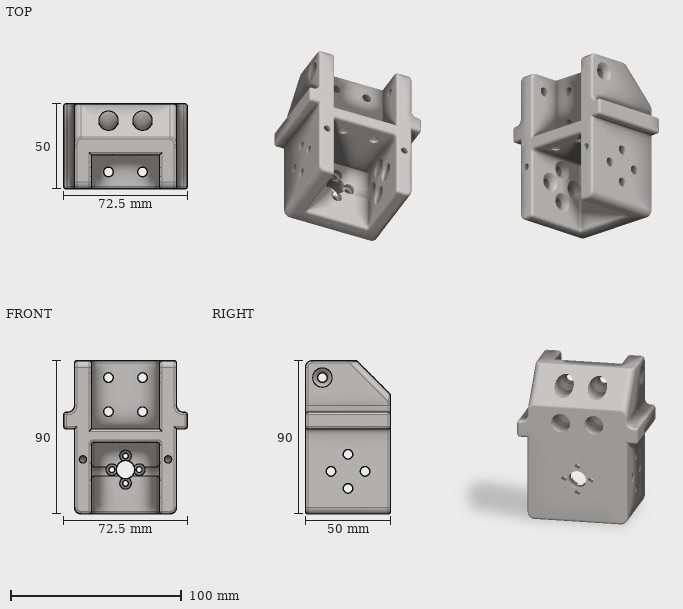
import cadquery as cq
import math

height = 90.0
depth = 50.0
rail_span = 72.5
wall = 10.0
front_y = -depth / 2
rear_y = depth / 2

large_radius = 4.0
edge_radius = 1.5

pocket_width = 40.0
upper_pocket_depth = 20.0
upper_floor_z = 49.95
lower_ceiling_z = 42.0
pocket_x = pocket_width / 2
side_x = pocket_x + wall
upper_wall_y = front_y + upper_pocket_depth
lower_wall_y = rear_y - wall

rail_bottom = 49.9
rail_top = 59.8

slope_run = 20.0

screw_diameter = 5.5
head_diameter = 11.3
countersink_angle = 90
screw_pitch = 20.0
upper_hole_z = height - screw_pitch / 2
front_hole_y = front_y + screw_pitch / 2
rear_head_y = upper_wall_y + wall
leg_pattern_z = 25.0
leg_pattern_radius = screw_pitch / 2

shaft_z = 26.0
shaft_diameter = 10.6
ring_radius = 8.0
ring_screw_diameter = 3.2
ring_head_diameter = 6.8
ring_head_depth = 3.0

blind_x = side_x - wall / 2
blind_z = 32.0
blind_diameter = 4.3
blind_depth = 10.0
drill_tip_angle = 118

tolerance = 0.01


def same(a, b):
    return abs(a - b) < tolerance


def box(x_range, y_range, z_range):
    """Box spanning the given (low, high) pairs."""
    low, high = zip(x_range, y_range, z_range)
    size = [b - a for a, b in zip(low, high)]
    return cq.Workplane("XY").box(*size, centered=False).translate(low)


def cylinder(start, direction, diameter, length):
    solid = cq.Solid.makeCylinder(diameter / 2, length, cq.Vector(*start), cq.Vector(*direction))
    return cq.Workplane(obj=solid)


def pointed_cone(start, direction, diameter, tip_angle):
    """Cone with its base at the start, closing to a point along the direction."""
    length = diameter / 2 / math.tan(math.radians(tip_angle / 2))
    solid = cq.Solid.makeCone(diameter / 2, 0, length, cq.Vector(*start), cq.Vector(*direction))
    return cq.Workplane(obj=solid)


def countersunk_hole(start, direction):
    """Screw hole through one wall, its countersink and clearance for the head behind it."""
    backward = [-part for part in direction]
    shank = cylinder(start, direction, screw_diameter, wall)
    seat = pointed_cone(start, direction, head_diameter, countersink_angle)
    head_clearance = cylinder(start, backward, head_diameter, pocket_width)
    return shank.union(seat).union(head_clearance)


def ring_positions(radius, center_z):
    """Four (offset, Z) places on a circle, a quarter turn apart."""
    return [
        (offset * radius, center_z + rise * radius)
        for offset, rise in ((1, 0), (0, 1), (-1, 0), (0, -1))
    ]


def make_block():
    """Outer body with the sloped shoulder, the side rails and the large rounds."""
    body = box((-side_x, side_x), (front_y, rear_y), (0, height))
    body = body.edges("|Y and <Z").fillet(large_radius)
    shoulder = (
        cq.Workplane("YZ")
        .moveTo(rear_y, height)
        .lineTo(rear_y - slope_run, height)
        .lineTo(rear_y, height - slope_run)
        .close()
        .extrude(side_x, both=True)
    )
    body = body.cut(shoulder)
    slope_face = cq.selectors.DirectionMinMaxSelector(cq.Vector(0, 1, 1), True)
    slope_sides = body.faces(slope_face).edges("not |X")
    body = body.newObject(slope_sides.vals()).fillet(large_radius)
    body = body.edges("|X and <Y and >Z").fillet(large_radius)

    rails = box((-rail_span / 2, rail_span / 2), (front_y, rear_y), (rail_bottom, rail_top))
    block = body.union(rails)
    rail_roots = [
        edge for edge in block.edges("|Y").vals()
        if same(abs(edge.Center().x), side_x) and same(edge.Center().z, rail_top)
    ]
    return block.newObject(rail_roots).fillet(large_radius)


def make_pockets():
    upper = box((-pocket_x, pocket_x), (front_y, upper_wall_y), (upper_floor_z, height))
    lower = box((-pocket_x, pocket_x), (front_y, lower_wall_y), (0, lower_ceiling_z))
    rear_corners = lower.edges("|Z and >Y").fillet(edge_radius)
    ceiling_corners = lower.edges("|Y and >Z").fillet(edge_radius)
    return upper.union(rear_corners.intersect(ceiling_corners))


def has_small_round(edge):
    """Whether an edge lies on the front, rear, top or pocket rim or on a rail corner."""
    bounds = edge.BoundingBox()
    middle = edge.Center()
    on_front = same(bounds.ymax, front_y)
    on_rear = same(bounds.ymin, rear_y)
    on_top = same(bounds.zmin, height)
    on_front_round = same(bounds.zmin, height - large_radius) and same(bounds.ymin, front_y)
    is_blend = (on_front and same(bounds.zmin, height - large_radius)) or (
        on_top and same(bounds.ymax, front_y + large_radius)
    )
    on_rail_corner = same(abs(middle.x), rail_span / 2)
    inside_pocket_x = abs(middle.x) < pocket_x + tolerance
    on_bottom_rim = same(bounds.zmax, 0) and inside_pocket_x and middle.y < lower_wall_y + tolerance
    rounded = on_front or on_rear or on_top or on_front_round or on_rail_corner or on_bottom_rim
    return rounded and not is_blend


def round_edges(block):
    edges = [edge for edge in block.edges().vals() if has_small_round(edge)]
    return block.newObject(edges).fillet(edge_radius)


def make_upper_holes():
    """Holes around the upper pocket: rear wall, floor and both sides."""
    floor_thickness = upper_floor_z - lower_ceiling_z
    holes = cq.Workplane("XY")
    for side in (-1, 1):
        x = side * screw_pitch / 2
        for z in (upper_hole_z, upper_hole_z - screw_pitch):
            holes = holes.add(countersunk_hole((x, rear_head_y, z), (0, -1, 0)))
        floor_start = (x, front_hole_y, lower_ceiling_z)
        holes = holes.add(cylinder(floor_start, (0, 0, 1), screw_diameter, floor_thickness))
        holes = holes.add(countersunk_hole((side * side_x, front_hole_y, upper_hole_z), (-side, 0, 0)))
    return holes


def make_leg_holes():
    """Screw patterns countersunk from inside the legs, and the blind holes in their front faces."""
    holes = cq.Workplane("XY")
    for side in (-1, 1):
        for y, z in ring_positions(leg_pattern_radius, leg_pattern_z):
            holes = holes.add(countersunk_hole((side * pocket_x, y, z), (side, 0, 0)))
        blind_start = (side * blind_x, front_y, blind_z)
        holes = holes.add(cylinder(blind_start, (0, 1, 0), blind_diameter, blind_depth))
        tip_start = (side * blind_x, front_y + blind_depth, blind_z)
        holes = holes.add(pointed_cone(tip_start, (0, 1, 0), blind_diameter, drill_tip_angle))
    return holes


def make_shaft_holes():
    holes = cq.Workplane("XY").add(cylinder((0, lower_wall_y, shaft_z), (0, 1, 0), shaft_diameter, wall))
    for x, z in ring_positions(ring_radius, shaft_z):
        start = (x, lower_wall_y, z)
        holes = holes.add(cylinder(start, (0, 1, 0), ring_screw_diameter, wall))
        holes = holes.add(cylinder(start, (0, 1, 0), ring_head_diameter, ring_head_depth))
    return holes


result = round_edges(make_block().cut(make_pockets()))
for holes in (make_shaft_holes(), make_upper_holes(), make_leg_holes()):
    for hole in holes.vals():
        result = result.cut(cq.Workplane(obj=hole))